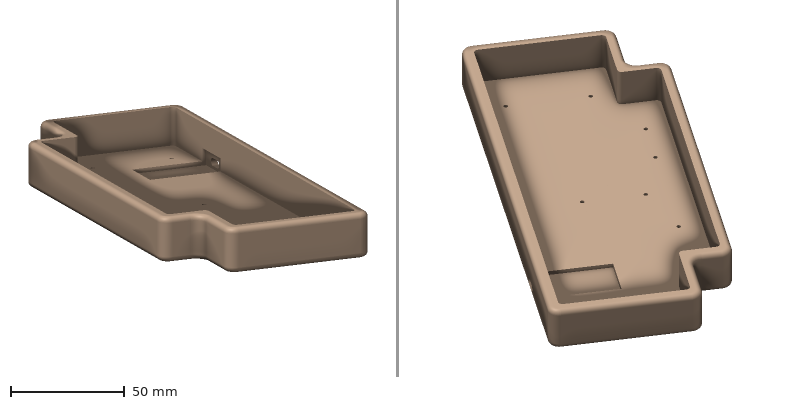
import cadquery as cq

KEY_PITCH = 19.05
COLUMNS = 10
ROWS = 4
CLEARANCE = 1.0
WALL = 5.0
HEIGHT = 20.6
FLOOR = 3.0
NOTCH_COLUMNS = 1.5
NOTCH_ROWS = 1.0

CORNER_RADIUS = 5.0
CAVITY_RADIUS = 2.0
EDGE_FILLET = 2.5
SCREW_DIAMETER = 2.0

POCKET_WIDTH = 19.0
POCKET_LENGTH = 34.0
POCKET_DEPTH = 2.0
POCKET_COLUMN = -3.0
RECESS_DEPTH = 1.8
RECESS_RISE = 6.0
PORT_WIDTH = 8.7
PORT_HEIGHT = 3.6
PORT_RISE = 1.2

grid_back = ROWS * KEY_PITCH / 2
cavity_half_x = COLUMNS * KEY_PITCH / 2 + CLEARANCE
cavity_half_y = grid_back + CLEARANCE
notch_x = NOTCH_COLUMNS * KEY_PITCH
notch_y = NOTCH_ROWS * KEY_PITCH
pocket_x = POCKET_COLUMN * KEY_PITCH

PAIRED_SCREWS = [(4.0, 0.5), (4.0, 2.5), (2.5, 3.5), (1.375, 3.5)]
CENTRE_SCREW_ROWS = [1.5, 3.0]


def stepped_prism(margin, base, height, radius):
    """Prism of the notched outline, grown by margin beyond the cavity wall."""
    half_x = cavity_half_x + margin
    half_y = cavity_half_y + margin
    step_x = half_x - notch_x
    step_y = -half_y + notch_y
    outline = [
        (-half_x, half_y),
        (half_x, half_y),
        (half_x, step_y),
        (step_x, step_y),
        (step_x, -half_y),
        (-step_x, -half_y),
        (-step_x, step_y),
        (-half_x, step_y),
    ]
    prism = cq.Workplane("XY").workplane(offset=base).polyline(outline).close().extrude(height)
    return prism.edges("|Z").fillet(radius)


def case_shell():
    """Rounded outer body with the open-topped cavity removed."""
    body = stepped_prism(WALL, 0, HEIGHT, CORNER_RADIUS)
    body = body.faces("<Z or >Z").edges().fillet(EDGE_FILLET)
    return body.cut(stepped_prism(0, FLOOR, HEIGHT - FLOOR, CAVITY_RADIUS))


def screw_holes():
    """Screw holes through the floor, mirrored about the YZ plane."""
    points = [(0, grid_back - row * KEY_PITCH) for row in CENTRE_SCREW_ROWS]
    for column, row in PAIRED_SCREWS:
        for side in (-1, 1):
            points.append((side * column * KEY_PITCH, grid_back - row * KEY_PITCH))
    return cq.Workplane("XY").pushPoints(points).circle(SCREW_DIAMETER / 2).extrude(FLOOR)


def board_pocket():
    """Shallow floor pocket that runs under a taller recess in the back wall."""
    pocket_length = POCKET_LENGTH + RECESS_DEPTH
    recess_back = cavity_half_y + RECESS_DEPTH
    pocket_floor = FLOOR - POCKET_DEPTH
    back_aligned = (True, False, False)
    pocket = (
        cq.Workplane("XY", origin=(pocket_x, recess_back - pocket_length, pocket_floor))
        .box(POCKET_WIDTH, pocket_length, POCKET_DEPTH, centered=back_aligned)
    )
    recess = (
        cq.Workplane("XY", origin=(pocket_x, cavity_half_y, pocket_floor))
        .box(POCKET_WIDTH, RECESS_DEPTH, POCKET_DEPTH + RECESS_RISE, centered=back_aligned)
    )
    return pocket.union(recess)


def cable_port():
    """Round-ended slot through the back wall, centred on the pocket."""
    return (
        cq.Workplane("XZ", origin=(pocket_x, cavity_half_y, FLOOR + PORT_RISE))
        .slot2D(PORT_WIDTH, PORT_HEIGHT)
        .extrude(-WALL)
    )


result = case_shell().cut(screw_holes()).cut(board_pocket()).cut(cable_port())